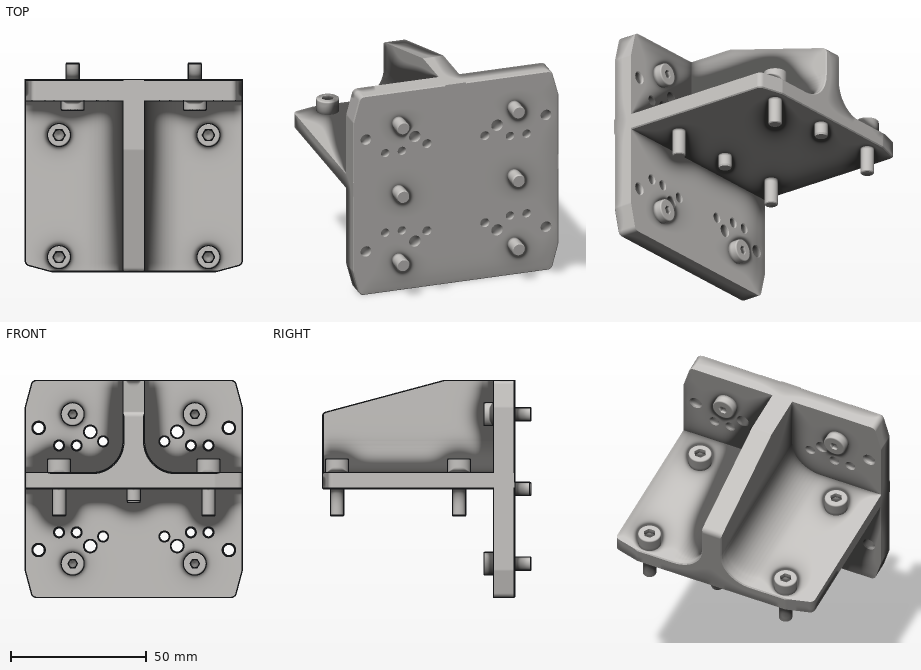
import cadquery as cq
import math

WIDTH = 80.0
PLATE_THICKNESS = 7.9
SHELF_REACH = 63.0
SHELF_THICKNESS = 6.0
RIB_WIDTH = 8.0
RIB_FILLET = 11.5
RIB_SLOPE_LENGTH = 45.0
FRONT_Y = -(PLATE_THICKNESS + SHELF_REACH)

SLOPE_ANGLE = 15.0
SLOPE = math.tan(math.radians(SLOPE_ANGLE))
CORNER_CUT = 10.0
CORNER_RADIUS = 2.0
EDGE_CHAMFER = 0.4

SCREW_LONG_HALF = 27.5
SCREW_SHORT_HALF = 22.5
SHELF_PATTERN_Y = -43.0

HEAD_DIAMETER = 8.5
HEAD_ROUND = 0.5
SHANK_DIAMETER = 5.0
SHANK_CHAMFER = 0.3
SHELF_HEAD_HEIGHT = 5.0
SHELF_SHANK_STANDOUT = 10.0
SHELF_SHANK_LENGTH = SHELF_THICKNESS + SHELF_SHANK_STANDOUT
SHELF_SOCKET_FLATS = 4.0
PLATE_HEAD_HEIGHT = 3.5
PLATE_PIN_STANDOUT = 6.0
PLATE_SHANK_LENGTH = PLATE_THICKNESS + PLATE_PIN_STANDOUT
PLATE_SOCKET_FLATS = 3.0
SOCKET_DEPTH = 2.0
SOCKET_CONE_ANGLE = 120.0
DOWEL_DIAMETER = 5.0
DOWEL_TIP_DIAMETER = 4.5
DOWEL_TIP_LENGTH = 0.7
SHELF_DOWEL_STANDOUT = 5.0

PLATE_HOLES = [
    (35.0, SCREW_SHORT_HALF, 4.2, 5.0),
    (SCREW_LONG_HALF, 16.0, 3.3, 4.0),
    (21.0, 16.0, 3.3, 4.0),
    (16.0, 21.0, 4.5, 5.0),
    (11.3, 17.5, 3.5, 4.0),
]


def make_plate():
    half = WIDTH / 2
    cut_end = half - CORNER_CUT
    inset = half - CORNER_CUT * SLOPE
    outline = [
        (-half, -cut_end), (-inset, -half), (inset, -half), (half, -cut_end),
        (half, cut_end), (inset, half), (-inset, half), (-half, cut_end),
    ]
    plate = cq.Workplane("XZ").polyline(outline).close().extrude(PLATE_THICKNESS)
    plate = plate.edges("|Y").fillet(CORNER_RADIUS)
    return plate.faces(">Y").edges().chamfer(EDGE_CHAMFER)


def tee_section(height):
    """Shelf and rib seen end-on, with a concave fillet on each side of the rib."""
    half = WIDTH / 2
    rib_half = RIB_WIDTH / 2
    fillet_end = rib_half + RIB_FILLET
    arc_top = SHELF_THICKNESS + RIB_FILLET
    offset = RIB_FILLET * (1 - math.sqrt(0.5))
    return (
        cq.Workplane("XZ")
        .moveTo(-half, 0)
        .lineTo(half, 0)
        .lineTo(half, SHELF_THICKNESS)
        .lineTo(fillet_end, SHELF_THICKNESS)
        .threePointArc((rib_half + offset, SHELF_THICKNESS + offset), (rib_half, arc_top))
        .lineTo(rib_half, height)
        .lineTo(-rib_half, height)
        .lineTo(-rib_half, arc_top)
        .threePointArc((-rib_half - offset, SHELF_THICKNESS + offset), (-fillet_end, SHELF_THICKNESS))
        .lineTo(-half, SHELF_THICKNESS)
        .close()
    )


def make_shelf_and_rib():
    half = WIDTH / 2
    top = half
    body = tee_section(top).extrude(-FRONT_Y)
    body = body.faces("<Y").edges("not (<X or >X or <Z or >Z)").chamfer(EDGE_CHAMFER)

    cut_y = FRONT_Y + CORNER_CUT * SLOPE
    plan = [
        (-half, 0), (-half, cut_y), (CORNER_CUT - half, FRONT_Y),
        (half - CORNER_CUT, FRONT_Y), (half, cut_y), (half, 0),
    ]
    plan_prism = cq.Workplane("XY").polyline(plan).close().extrude(top)
    plan_prism = plan_prism.edges("|Z and (not >Y)").fillet(CORNER_RADIUS)

    profile = [
        (0, 0), (0, top), (FRONT_Y + RIB_SLOPE_LENGTH, top),
        (FRONT_Y, top - RIB_SLOPE_LENGTH * SLOPE), (FRONT_Y, 0),
    ]
    side_prism = cq.Workplane("YZ").polyline(profile).close().extrude(half, both=True)
    side_prism = side_prism.edges("|X and (not >Y) and (not <Z)").fillet(CORNER_RADIUS)

    body = body.intersect(plan_prism).intersect(side_prism)
    return body.faces("<Z").edges("not >Y").chamfer(EDGE_CHAMFER)


def make_screw(head_height, shank_length, socket_flats):
    """Socket screw along Z, seated at the origin with its head upwards."""
    head = cq.Workplane("XY").circle(HEAD_DIAMETER / 2).extrude(head_height)
    head = head.faces(">Z").edges().fillet(HEAD_ROUND)
    shank = cq.Workplane("XY").circle(SHANK_DIAMETER / 2).extrude(-shank_length)
    shank = shank.faces("<Z").edges().chamfer(SHANK_CHAMFER)

    corner_diameter = socket_flats / math.cos(math.pi / 6)
    socket_floor = head_height - SOCKET_DEPTH
    socket = (
        cq.Workplane("XY", origin=(0, 0, socket_floor))
        .polygon(6, corner_diameter)
        .extrude(SOCKET_DEPTH)
    )
    cone_radius = socket_flats / 2
    cone_depth = cone_radius / math.tan(math.radians(SOCKET_CONE_ANGLE / 2))
    cone = cq.Solid.makeCone(
        cone_radius, 0, cone_depth, cq.Vector(0, 0, socket_floor), cq.Vector(0, 0, -1)
    )
    return head.union(shank).cut(socket).cut(cq.Workplane(cone))


def make_dowel(length, root_depth):
    """Tapered-tip dowel along -Z: from root_depth above the origin to length below it."""
    radius = DOWEL_DIAMETER / 2
    return (
        cq.Workplane("XZ")
        .moveTo(0, root_depth)
        .lineTo(radius, root_depth)
        .lineTo(radius, DOWEL_TIP_LENGTH - length)
        .lineTo(DOWEL_TIP_DIAMETER / 2, -length)
        .lineTo(0, -length)
        .close()
        .revolve(360, (0, 0), (0, 1))
    )


def turn_to_plate(fastener):
    """Turn a fastener so that its top faces -Y instead of +Z."""
    return fastener.rotate((0, 0, 0), (1, 0, 0), 90)


def add_shelf_fasteners(body):
    screw = make_screw(SHELF_HEAD_HEIGHT, SHELF_SHANK_LENGTH, SHELF_SOCKET_FLATS)
    dowel = make_dowel(SHELF_DOWEL_STANDOUT, SHELF_THICKNESS / 2)
    for side_y in (-1, 1):
        row_y = SHELF_PATTERN_Y + side_y * SCREW_SHORT_HALF
        body = body.union(dowel.translate((0, row_y, 0)))
        for side_x in (-1, 1):
            body = body.union(screw.translate((side_x * SCREW_LONG_HALF, row_y, SHELF_THICKNESS)))
    return body


def add_plate_fasteners(body):
    screw = turn_to_plate(make_screw(PLATE_HEAD_HEIGHT, PLATE_SHANK_LENGTH, PLATE_SOCKET_FLATS))
    dowel = turn_to_plate(make_dowel(PLATE_PIN_STANDOUT, PLATE_THICKNESS / 2))
    for side_x in (-1, 1):
        column_x = side_x * SCREW_SHORT_HALF
        body = body.union(dowel.translate((column_x, 0, 0)))
        for side_z in (-1, 1):
            body = body.union(screw.translate((column_x, -PLATE_THICKNESS, side_z * SCREW_LONG_HALF)))
    return body


def cut_plate_holes(plate):
    front_face = cq.Workplane("XZ", origin=(0, -PLATE_THICKNESS, 0))
    into_plate = cq.Vector(0, 1, 0)
    for x, z, diameter, sink_diameter in PLATE_HOLES:
        sink_depth = (sink_diameter - diameter) / 2
        quarters = [(x, z), (-x, z), (x, -z), (-x, -z)]
        plate = plate.cut(front_face.pushPoints(quarters).circle(diameter / 2).extrude(-PLATE_THICKNESS))
        for hole_x, hole_z in quarters:
            centre = cq.Vector(hole_x, -PLATE_THICKNESS, hole_z)
            sink = cq.Solid.makeCone(sink_diameter / 2, diameter / 2, sink_depth, centre, into_plate)
            plate = plate.cut(cq.Workplane(sink))
    return plate


bracket = cut_plate_holes(make_plate()).union(make_shelf_and_rib())
result = add_plate_fasteners(add_shelf_fasteners(bracket))